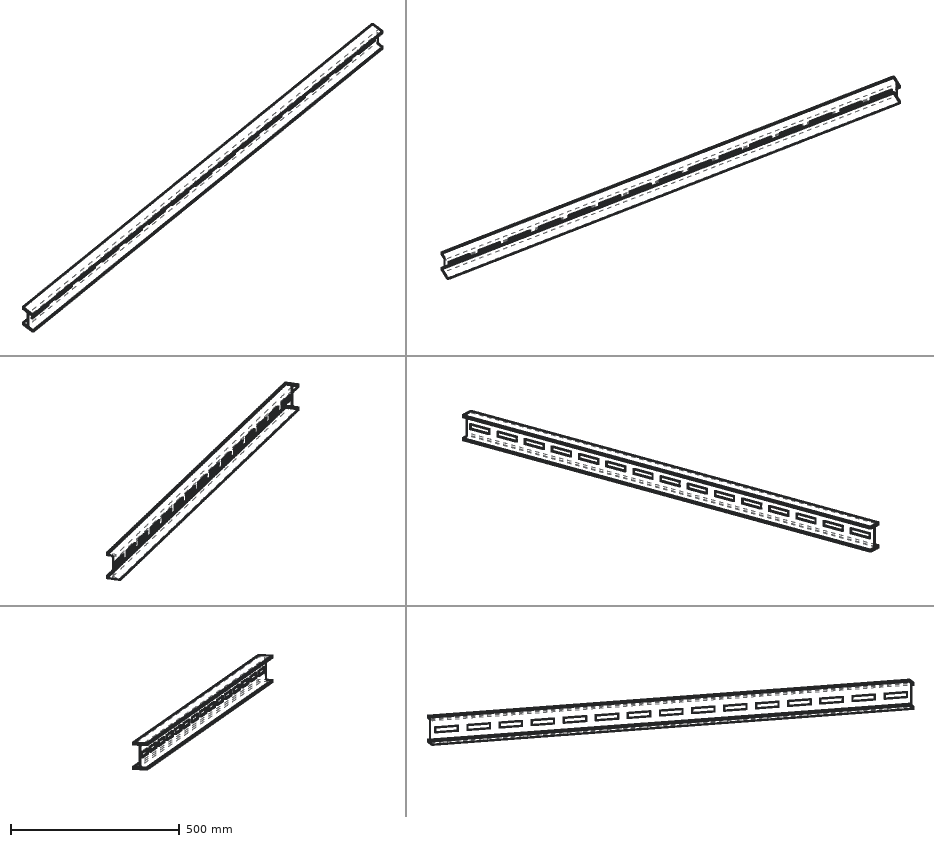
import cadquery as cq

length = 1500.0
flange_width = 42.0
height = 80.0

flange_thickness = 6.0
web_thickness = 4.0
root_radius = 3.0

slot_count = 15
slot_gap = 30.0
slot_height = 15.0
slot_pitch = length / slot_count
slot_length = slot_pitch - slot_gap
slot_row_offset = 2.0


def make_beam():
    """I-section beam centred on the origin, with rounded web roots."""
    web = cq.Workplane("XY").box(web_thickness, length, height)
    flange = cq.Workplane("XY").box(flange_width, length, flange_thickness)
    flange_offset = (height - flange_thickness) / 2
    top_flange = flange.translate((0, 0, flange_offset))
    bottom_flange = flange.translate((0, 0, -flange_offset))
    beam = web.union(top_flange).union(bottom_flange)
    root_zone = cq.selectors.BoxSelector(
        (-web_thickness, -length, -height / 2 + flange_thickness / 2),
        (web_thickness, length, height / 2 - flange_thickness / 2),
    )
    return beam.edges("|Y").edges(root_zone).fillet(root_radius)


def make_slots():
    """Rectangular cutters for the evenly spaced web slots."""
    return (
        cq.Workplane("YZ")
        .center(slot_row_offset, 0)
        .rarray(slot_pitch, 15, slot_count, 1)
        .rect(slot_length, slot_height)
        .extrude(web_thickness, both=True)
    )


result = make_beam().cut(make_slots())